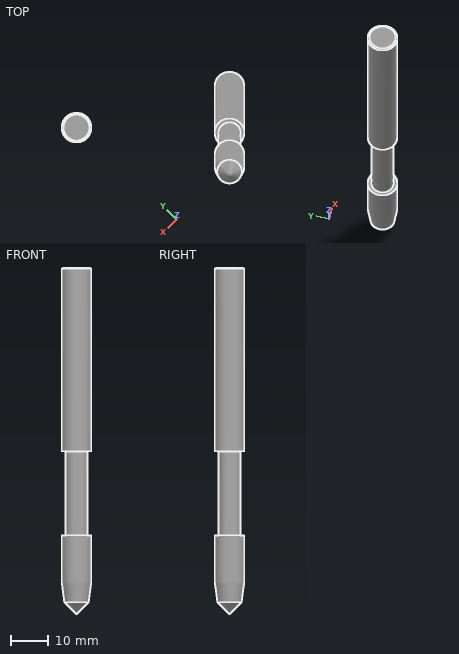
import cadquery as cq

total_length = 93.3
body_radius = 4.0
rod_radius = 3.0

housing_length = 49.4
end_section_length = 9.0
lip_height = 0.15
bevel_width = 0.5
bevel_height = 0.3

taper_end_radius = 3.3
tip_height = taper_end_radius
taper_top = 8.6
nose_top = 21.3

housing_bottom = total_length - housing_length
end_section_bottom = total_length - end_section_length
plunger_top = housing_bottom - lip_height


def revolve_about_z(profile):
    """Turn a half profile of (radius, height) points into a solid around the Z axis."""
    return cq.Workplane("XZ").polyline(profile).close().revolve(360, (0, 0, 0), (0, 1, 0))


def make_housing():
    """Barrel with a shallow lip above the rod, and a bevelled end section flush on top of it."""
    barrel = revolve_about_z([
        (0, plunger_top),
        (rod_radius, plunger_top),
        (rod_radius, housing_bottom),
        (body_radius, housing_bottom),
        (body_radius, end_section_bottom),
        (0, end_section_bottom),
    ])
    end_section = revolve_about_z([
        (0, end_section_bottom),
        (body_radius, end_section_bottom),
        (body_radius, total_length - bevel_height),
        (body_radius - bevel_width, total_length),
        (0, total_length),
    ])
    return barrel.union(end_section, clean=False)


def make_plunger():
    """Rod that meets the housing lip, with a thicker nose, a slow taper and a conical tip."""
    return revolve_about_z([
        (0, 0),
        (taper_end_radius, tip_height),
        (body_radius, taper_top),
        (body_radius, nose_top),
        (rod_radius, nose_top),
        (rod_radius, plunger_top),
        (0, plunger_top),
    ])


housing = make_housing()
plunger = make_plunger()

result = cq.Compound.makeCompound([housing.solids().val(), plunger.val()])